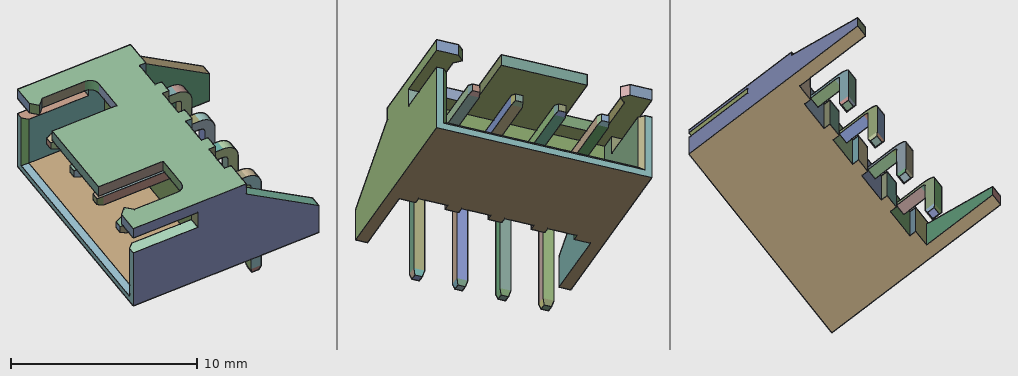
import cadquery as cq
import math


width = 12.5
housing_depth = 7.0
height = 5.75
wall = 0.7
cavity_depth = 5.0
lead_in = 0.3
ceiling_z = height - wall

arm_end_y = 11.5
arm_end_height = 2.0
arm_shoulder_z = 5.0

opening_depth = 4.0
side_slot_height = 1.1
top_slot_outer_x = width / 2 - 1.28
top_slot_inner_x = 2.5
top_slot_radius = 0.55
nib = 0.4

pin_count = 4
pin_pitch = 2.5
pin_size = 0.64
pin_tip_size = 0.44
pin_tip_length = 0.35
pin_z = 3.55
pin_front_y = 0.5
pin_back_y = 9.19
pin_bottom_z = -3.5
bend_radius = 0.92

notch_width = 1.7
notch_depth = 0.4

pin_xs = [(i - (pin_count - 1) / 2) * pin_pitch for i in range(pin_count)]


def box(x_size, y_size, z_size, x=0.0, y=0.0, z=0.0):
    """Box centred on x, starting at y and z."""
    return cq.Workplane("XY").box(x_size, y_size, z_size, centered=(True, False, False)).translate((x, y, z))


def shell():
    """Housing with its side arms, hollowed from the front."""
    side_outline = [
        (0, 0),
        (arm_end_y, 0),
        (arm_end_y, arm_end_height),
        (housing_depth, arm_shoulder_z),
        (housing_depth, height),
        (0, height),
    ]
    body = cq.Workplane("YZ").polyline(side_outline).close().extrude(width / 2, both=True)
    inner_width = width - 2 * wall
    between_arms = box(inner_width, arm_end_y - housing_depth, height, y=housing_depth)
    cavity = box(inner_width, cavity_depth, ceiling_z - wall, z=wall)
    return body.cut(between_arms).cut(cavity)


def mouth_outline(half_width, floor_z):
    """Corners of a rectangle in X and Z, from a floor up to the underside of the top plate."""
    return [
        (-half_width, floor_z),
        (half_width, floor_z),
        (half_width, ceiling_z),
        (-half_width, ceiling_z),
    ]


def mouth_lead_in():
    """Tapered cut that widens the mouth at the floor and at both side walls."""
    half_inner = width / 2 - wall
    front = mouth_outline(half_inner + lead_in, wall - lead_in)
    back = mouth_outline(half_inner, wall)
    return (
        cq.Workplane("XZ").polyline(front).close()
        .workplane(offset=-lead_in).polyline(back).close()
        .loft(ruled=True, combine=True)
    )


def top_slot():
    """Right-hand slot through the top plate, with a nib at its mouth and a rounded outer back corner."""
    corner = top_slot_radius * (1 - math.sqrt(0.5))
    return (
        cq.Workplane("XY", origin=(0, 0, ceiling_z))
        .moveTo(top_slot_inner_x, 0)
        .lineTo(top_slot_outer_x, 0)
        .lineTo(top_slot_outer_x - nib, nib)
        .lineTo(top_slot_outer_x, 2 * nib)
        .lineTo(top_slot_outer_x, opening_depth - top_slot_radius)
        .threePointArc(
            (top_slot_outer_x - corner, opening_depth - corner),
            (top_slot_outer_x - top_slot_radius, opening_depth),
        )
        .lineTo(top_slot_inner_x, opening_depth)
        .close()
        .extrude(wall)
    )


def pin():
    """Square pin bent down through 90 degrees, with a tapered tip at each end."""
    half = pin_size / 2
    inner_radius = bend_radius - pin_size
    bend_y = pin_back_y - bend_radius
    bend_z = pin_z + half - bend_radius
    diagonal = math.sqrt(0.5)
    shank_front = pin_front_y + pin_tip_length
    shank_bottom = pin_bottom_z + pin_tip_length
    shank = (
        cq.Workplane("YZ")
        .moveTo(shank_front, pin_z + half)
        .lineTo(bend_y, pin_z + half)
        .threePointArc(
            (bend_y + bend_radius * diagonal, bend_z + bend_radius * diagonal),
            (pin_back_y, bend_z),
        )
        .lineTo(pin_back_y, shank_bottom)
        .lineTo(pin_back_y - pin_size, shank_bottom)
        .lineTo(pin_back_y - pin_size, bend_z)
        .threePointArc(
            (bend_y + inner_radius * diagonal, bend_z + inner_radius * diagonal),
            (bend_y, pin_z - half),
        )
        .lineTo(shank_front, pin_z - half)
        .close()
        .extrude(half, both=True)
    )
    taper = math.degrees(math.atan((pin_size - pin_tip_size) / 2 / pin_tip_length))
    front_tip = (
        cq.Workplane("XZ", origin=(0, shank_front, pin_z))
        .rect(pin_size, pin_size)
        .extrude(pin_tip_length, taper=taper)
    )
    bottom_tip = (
        cq.Workplane("XY", origin=(0, pin_back_y - half, shank_bottom))
        .rect(pin_size, pin_size)
        .extrude(-pin_tip_length, taper=taper)
    )
    return shank.union(front_tip).union(bottom_tip)


result = shell().cut(mouth_lead_in())
result = result.cut(box(width, opening_depth, side_slot_height, z=ceiling_z - side_slot_height))
right_slot = top_slot()
result = result.cut(right_slot).cut(right_slot.mirror("YZ"))

header_pin = pin()
for pin_x in pin_xs:
    result = result.cut(box(notch_width, notch_depth, height, x=pin_x, y=housing_depth - notch_depth))
    result = result.union(header_pin.translate((pin_x, 0, 0)))